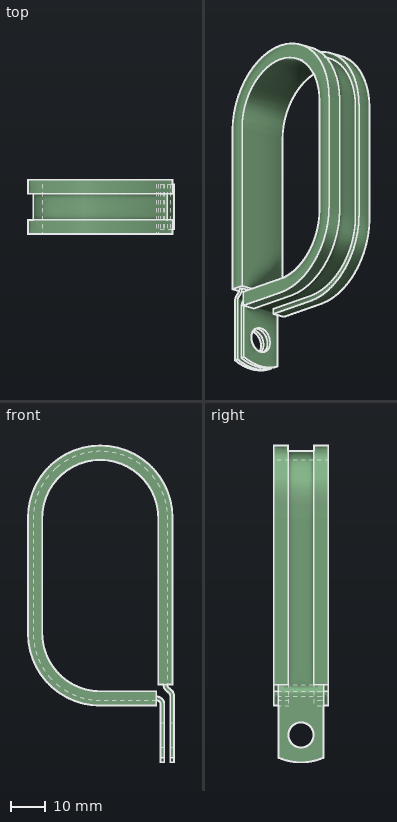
import cadquery as cq
import math

opening_width = 33.4
opening_straight = 33.3
cushion_thickness = 4.2
cushion_width = 15.75
right_leg_end_above_bottom = 6.1
bottom_leg_end_x = 16.18

groove_width = 7.5
groove_depth = 1.55

strap_thickness = 1.15
strap_width = 13.0
inner_bend_radius = 1.2
tab_gap = 1.65
tab_drop = 16.39
tab_tip_sagitta = 1.35
hole_diameter = 7.2
hole_above_tip = 7.95
jog_angle = 50.0

diagonal = math.sqrt(0.5)
outer_radius = opening_width / 2 + cushion_thickness
arc_z = opening_straight / 2
loop_bottom_z = -arc_z - outer_radius
right_leg_end_z = loop_bottom_z + right_leg_end_above_bottom
tab_tip_z = loop_bottom_z - tab_drop
tab_shoulder_z = tab_tip_z + tab_tip_sagitta
hole_z = tab_tip_z + hole_above_tip

strap_outer_radius = outer_radius - groove_depth
outer_bend_radius = inner_bend_radius + strap_thickness
left_tab_x = bottom_leg_end_x + inner_bend_radius
right_tab_x = left_tab_x + strap_thickness + tab_gap
right_tab_outer_x = right_tab_x + strap_thickness


def extrude_centred(outline, width):
    """Extrude an XZ outline by the given width, centred on Y = 0."""
    return outline.extrude(width / 2, both=True)


def loop_band(outside, inside, width):
    """Open loop between two radii, from the right leg over the top to the bottom leg."""
    outline = (
        cq.Workplane("XZ")
        .moveTo(outside, right_leg_end_z)
        .lineTo(outside, arc_z)
        .threePointArc((0, arc_z + outside), (-outside, arc_z))
        .lineTo(-outside, -arc_z)
        .threePointArc((-outside * diagonal, -arc_z - outside * diagonal), (0, -arc_z - outside))
        .lineTo(bottom_leg_end_x, -arc_z - outside)
        .lineTo(bottom_leg_end_x, -arc_z - inside)
        .lineTo(0, -arc_z - inside)
        .threePointArc((-inside * diagonal, -arc_z - inside * diagonal), (-inside, -arc_z))
        .lineTo(-inside, arc_z)
        .threePointArc((0, arc_z + inside), (inside, arc_z))
        .lineTo(inside, right_leg_end_z)
        .close()
    )
    return extrude_centred(outline, width)


def make_cushion():
    """Full-width loop with the outer groove cut down to the strap."""
    body = loop_band(outer_radius, opening_width / 2, cushion_width)
    groove = loop_band(outer_radius, strap_outer_radius, groove_width)
    return body.cut(groove)


def make_bottom_leg_tab():
    """Strap leaving the bottom leg and turning down through a quarter bend."""
    bend_z = -arc_z - strap_outer_radius - inner_bend_radius
    outline = (
        cq.Workplane("XZ")
        .moveTo(bottom_leg_end_x, bend_z + outer_bend_radius)
        .threePointArc(
            (bottom_leg_end_x + outer_bend_radius * diagonal, bend_z + outer_bend_radius * diagonal),
            (bottom_leg_end_x + outer_bend_radius, bend_z),
        )
        .lineTo(left_tab_x + strap_thickness, tab_tip_z)
        .lineTo(left_tab_x, tab_tip_z)
        .lineTo(left_tab_x, bend_z)
        .threePointArc(
            (bottom_leg_end_x + inner_bend_radius * diagonal, bend_z + inner_bend_radius * diagonal),
            (bottom_leg_end_x, bend_z + inner_bend_radius),
        )
        .close()
    )
    return extrude_centred(outline, strap_width)


def make_right_leg_tab():
    """Strap leaving the right leg, swinging outward in an S-bend and hanging straight down."""
    angle = math.radians(jog_angle)
    both_radii = inner_bend_radius + outer_bend_radius
    jog_run = right_tab_outer_x - strap_outer_radius
    slant_length = (jog_run - both_radii * (1 - math.cos(angle))) / math.sin(angle)
    jog_drop = both_radii * math.sin(angle) + slant_length * math.cos(angle)
    upper_centre = (strap_outer_radius + inner_bend_radius, right_leg_end_z)
    lower_centre = (right_tab_outer_x - outer_bend_radius, right_leg_end_z - jog_drop)

    def upper_point(radius, turn):
        return (
            upper_centre[0] - radius * math.cos(turn),
            upper_centre[1] - radius * math.sin(turn),
        )

    def lower_point(radius, turn):
        return (
            lower_centre[0] + radius * math.cos(turn),
            lower_centre[1] + radius * math.sin(turn),
        )

    outline = (
        cq.Workplane("XZ")
        .moveTo(*upper_point(inner_bend_radius, 0))
        .threePointArc(upper_point(inner_bend_radius, angle / 2), upper_point(inner_bend_radius, angle))
        .lineTo(*lower_point(outer_bend_radius, angle))
        .threePointArc(lower_point(outer_bend_radius, angle / 2), lower_point(outer_bend_radius, 0))
        .lineTo(right_tab_outer_x, tab_tip_z)
        .lineTo(right_tab_x, tab_tip_z)
        .lineTo(*lower_point(inner_bend_radius, 0))
        .threePointArc(lower_point(inner_bend_radius, angle / 2), lower_point(inner_bend_radius, angle))
        .lineTo(*upper_point(outer_bend_radius, angle))
        .threePointArc(upper_point(outer_bend_radius, angle / 2), upper_point(outer_bend_radius, 0))
        .close()
    )
    return extrude_centred(outline, strap_width)


def make_tab_trim():
    """Solid in the shape that both tabs share: round tip and mounting hole."""
    half_width = strap_width / 2
    blank = (
        cq.Workplane("YZ")
        .moveTo(-half_width, right_leg_end_z)
        .lineTo(-half_width, tab_shoulder_z)
        .threePointArc((0, tab_tip_z), (half_width, tab_shoulder_z))
        .lineTo(half_width, right_leg_end_z)
        .close()
        .extrude(right_tab_outer_x)
    )
    hole = cq.Workplane("YZ").center(0, hole_z).circle(hole_diameter / 2).extrude(right_tab_outer_x)
    return blank.cut(hole)


tab_trim = make_tab_trim()
result = make_cushion()
for tab in (make_bottom_leg_tab(), make_right_leg_tab()):
    result = result.union(tab.intersect(tab_trim))